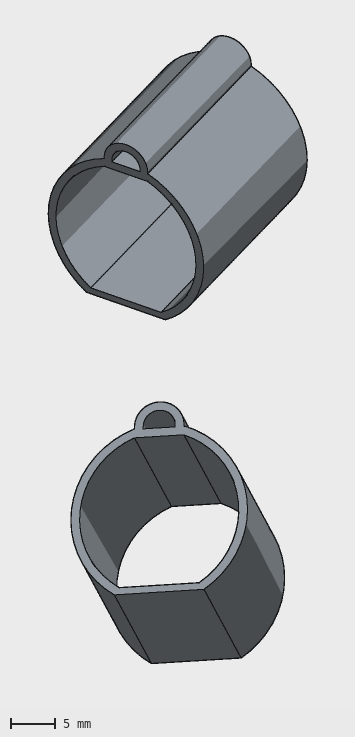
import cadquery as cq
import math

length = 23.0
total_height = 22.5
wall = 1.0
sleeve_radius = 11.0
arc_offset = 1.0
base_angle = 56.5
loop_radius = 2.8

bore_radius = sleeve_radius - wall
loop_bore_radius = loop_radius - wall


def arc_height(radius, x):
    """Height of a side arc at distance x from the mid-plane."""
    return math.sqrt(radius**2 - (x + arc_offset) ** 2)


def base_corner(radius):
    """Distance from the mid-plane and height of the lower end of a side arc."""
    angle = math.radians(base_angle)
    return radius * math.cos(angle) - arc_offset, -radius * math.sin(angle)


base_z = base_corner(sleeve_radius)[1]
loop_center_z = base_z + total_height - loop_radius
bore_top_z = arc_height(bore_radius, loop_radius)
loop_floor_z = bore_top_z + wall


def extrude_profile(profile):
    """Extrude a closed XZ outline over the full length, centred on Y = 0."""
    return profile.close().extrude(length / 2, both=True)


def sleeve(radius):
    """Solid barrel with two bulging sides, a flat base and a flat top as wide as the loop."""
    corner_x, corner_z = base_corner(radius)
    top_z = arc_height(radius, loop_radius)
    side_x = radius - arc_offset
    return extrude_profile(
        cq.Workplane("XZ")
        .moveTo(-corner_x, corner_z)
        .lineTo(corner_x, corner_z)
        .threePointArc((side_x, 0), (loop_radius, top_z))
        .lineTo(-loop_radius, top_z)
        .threePointArc((-side_x, 0), (-corner_x, corner_z))
    )


def arch(radius, floor_z):
    """Half-round arch whose straight legs run down to floor_z."""
    return extrude_profile(
        cq.Workplane("XZ")
        .moveTo(-radius, floor_z)
        .lineTo(radius, floor_z)
        .lineTo(radius, loop_center_z)
        .threePointArc((0, loop_center_z + radius), (-radius, loop_center_z))
    )


body = sleeve(sleeve_radius).union(arch(loop_radius, bore_top_z))
result = body.cut(sleeve(bore_radius)).cut(arch(loop_bore_radius, loop_floor_z))